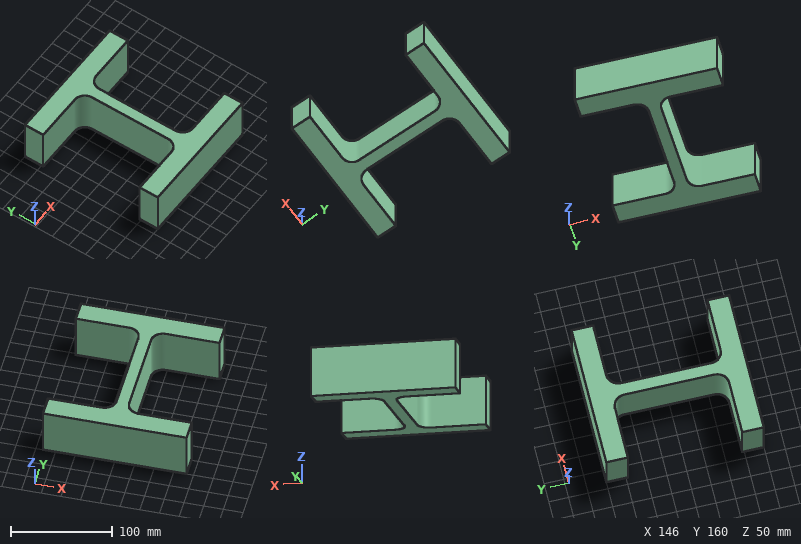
import cadquery as cq

flange_width = 146.0
section_depth = 160.0
beam_length = 50.0
flange_thickness = 22.0
web_thickness = 13.0
root_radius = 12.0

flange_offset = (section_depth - flange_thickness) / 2

web = cq.Workplane("XY").box(web_thickness, section_depth, beam_length)
flanges = (
    cq.Workplane("XY")
    .pushPoints([(0, -flange_offset), (0, flange_offset)])
    .box(flange_width, flange_thickness, beam_length)
)
beam = web.union(flanges).clean()

root_edges = cq.selectors.BoxSelector(
    (-web_thickness, -flange_offset, -beam_length),
    (web_thickness, flange_offset, beam_length),
)
result = beam.edges("|Z").edges(root_edges).fillet(root_radius)